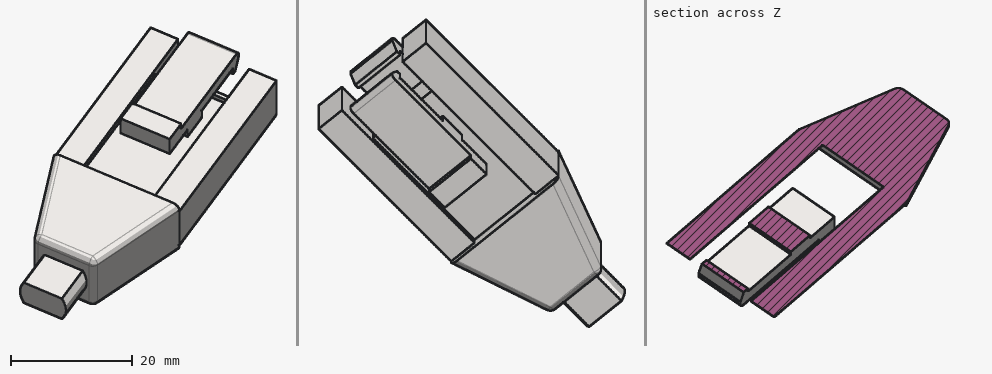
import cadquery as cq

body_width = 23.7
fork_length = 32.7
fork_height = 8.55
slot_width = 13.4
web_length = 25.1
floor_depth = 1.1

head_length = 17.75
head_height = 11.4
head_front_width = 11.3
head_fillet = 1.2

stub_end = 24.75
stub_width = 8.65
stub_flat_width = 7.15
stub_height = 5.1

latch_width = 9.2
latch_tip = 32.95
latch_back = 9.7
pad_length = 3.85
pad_top = 8.565
bar_top = 7.4
bar_bottom = 4.9
post_front = 20.5
post_length = 4.8
tooth_inner = 30.95
tooth_outer = 31.8
tooth_bottom = 3.6
tooth_slant_top = 5.95
tip_fillet = 0.8


def make_fork():
    """Two arms joined by a recessed web, open between the arms at the far end."""
    fork = cq.Workplane("XY").box(body_width, fork_length, fork_height, centered=(True, False, True))
    open_end = (
        cq.Workplane("XY")
        .box(slot_width, fork_length - web_length, fork_height, centered=(True, False, True))
        .translate((0, web_length, 0))
    )
    fork = fork.cut(open_end)
    floor_height = fork_height / 2 - floor_depth
    recess = (
        cq.Workplane("XY", origin=(0, 0, floor_height))
        .box(slot_width, fork_length, floor_depth, centered=(True, False, False))
    )
    return fork.cut(recess).cut(recess.mirror("XY"))


def make_head():
    """Tapered head, rounded on every edge except those at the fork joint."""
    half_back = body_width / 2
    half_front = head_front_width / 2
    outline = [
        (-half_back, 0),
        (half_back, 0),
        (half_front, -head_length),
        (-half_front, -head_length),
    ]
    head = cq.Workplane("XY").polyline(outline).close().extrude(head_height / 2, both=True)
    joint_edges = head.faces(">Y").edges().vals()
    rounded_edges = [
        edge for edge in head.edges().vals()
        if not any(edge.isSame(joint_edge) for joint_edge in joint_edges)
    ]
    return head.newObject(rounded_edges).fillet(head_fillet)


def make_stub():
    """Cable stub with flat top and bottom and bulged sides, starting inside the head."""
    half_flat = stub_flat_width / 2
    half_width = stub_width / 2
    half_height = stub_height / 2
    return (
        cq.Workplane("XZ")
        .moveTo(-half_flat, -half_height)
        .lineTo(half_flat, -half_height)
        .threePointArc((half_width, 0), (half_flat, half_height))
        .lineTo(-half_flat, half_height)
        .threePointArc((-half_width, 0), (-half_flat, -half_height))
        .close()
        .extrude(stub_end)
    )


def make_latch():
    """Upper latch: a bar on a post, with a hooked tip and a raised finger pad."""
    post_back = post_front - post_length
    pad_front = latch_back + pad_length
    post_bottom = fork_height / 2 - floor_depth
    profile = [
        (latch_back, pad_top),
        (pad_front, pad_top),
        (pad_front, bar_top),
        (latch_tip, bar_top),
        (latch_tip, tooth_slant_top),
        (tooth_outer, tooth_bottom),
        (tooth_inner, tooth_bottom),
        (tooth_inner, bar_bottom),
        (post_front, bar_bottom),
        (post_front, post_bottom),
        (post_back, post_bottom),
        (post_back, bar_bottom),
        (latch_back, bar_bottom),
    ]
    latch = cq.Workplane("YZ").polyline(profile).close().extrude(latch_width / 2, both=True)
    tip_edge = cq.selectors.NearestToPointSelector((0, latch_tip, bar_top))
    return latch.edges(tip_edge).fillet(tip_fillet)


upper_latch = make_latch()
lower_latch = upper_latch.mirror("XY")
result = make_fork().union(make_head()).union(make_stub()).union(upper_latch).union(lower_latch)